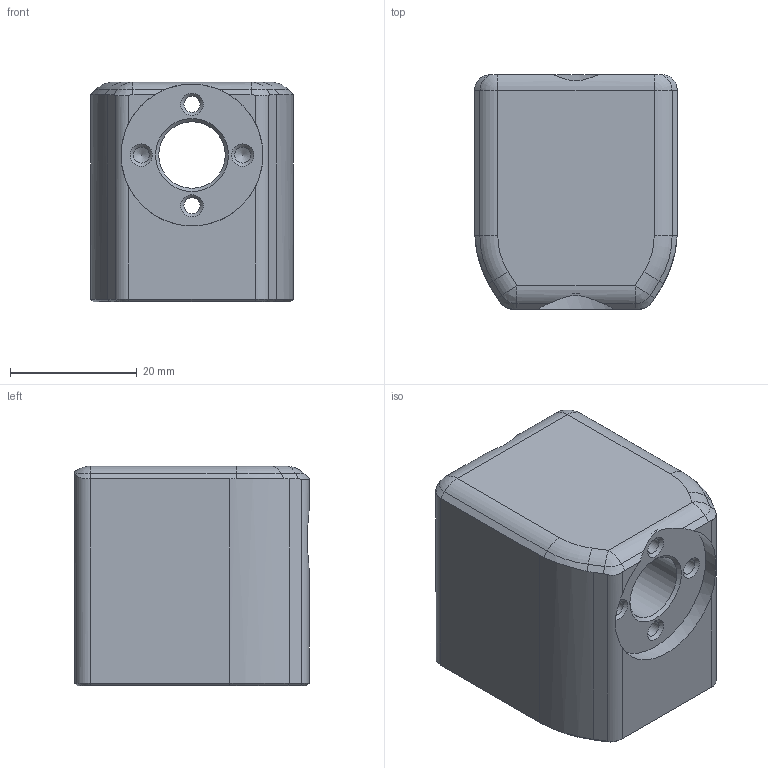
import cadquery as cq
import math

WIDTH = 32.0
LENGTH = 37.0
HEIGHT = 34.67
FRONT_Y = -LENGTH / 2
REAR_Y = LENGTH / 2

TAPER_ANGLE = 32.0
FRONT_CORNER_X = 11.35
TAPER_LENGTH = (WIDTH / 2 - FRONT_CORNER_X) / math.tan(math.radians(TAPER_ANGLE))
BODY_CORNER_RADIUS = 2.5
BODY_TAPER_RADIUS = 17.7
BASE_CHAMFER = 0.4

BEVEL_ANGLE = 45.0
TOP_CHAMFER = 2.0
TOP_BLEND_RADIUS = 4.0
BEVEL_INSET = TOP_CHAMFER + TOP_BLEND_RADIUS * math.tan(math.radians(BEVEL_ANGLE / 2))
CORNER_CLEARANCE = 0.01
CROWN_CORNER_RADIUS = BEVEL_INSET + CORNER_CLEARANCE
CROWN_TAPER_RADIUS = 14.3
CROWN_GROWTH = 1.0
CROWN_REAR_OVERHANG = BEVEL_INSET - BODY_CORNER_RADIUS

AXIS_BELOW_TOP = 11.5
AXIS_Z = HEIGHT - AXIS_BELOW_TOP
SEAT_DIAMETER = 22.4
SEAT_DEPTH = 2.5
BORE_DIAMETER = 10.5
SCREW_HOLE_DIAMETER = 2.53
SCREW_CIRCLE_RADIUS = 8.0
HOLE_CHAMFER = 0.5
BLIND_HOLE_DEPTH = 10.0
DRILL_POINT_ANGLE = 118.0


def tapered_prism(rear_y, corner_radius, taper_radius):
    """Full-height prism of the plan outline, with its upright edges rounded."""
    taper_y = FRONT_Y + TAPER_LENGTH
    outline = [
        (-FRONT_CORNER_X, FRONT_Y),
        (FRONT_CORNER_X, FRONT_Y),
        (WIDTH / 2, taper_y),
        (WIDTH / 2, rear_y),
        (-WIDTH / 2, rear_y),
        (-WIDTH / 2, taper_y),
    ]
    prism = cq.Workplane("XY").polyline(outline).close().extrude(HEIGHT)
    prism = prism.edges("|Z and (not (<Y or >Y))").fillet(taper_radius)
    return prism.edges("|Z and (<Y or >Y)").fillet(corner_radius)


def make_body():
    body = tapered_prism(REAR_Y, BODY_CORNER_RADIUS, BODY_TAPER_RADIUS)
    return body.faces("<Z").edges().chamfer(BASE_CHAMFER)


def make_crown():
    """Envelope that gives the body its rounded bevel around the top."""
    crown = tapered_prism(REAR_Y + CROWN_REAR_OVERHANG, CROWN_CORNER_RADIUS, CROWN_TAPER_RADIUS)
    outline = crown.faces("<Z").wires().val().offset2D(CROWN_GROWTH)[0]
    crown = cq.Workplane("XY").add(outline).toPending().extrude(HEIGHT)
    crown = crown.faces(">Z").edges().chamfer(TOP_CHAMFER + CROWN_GROWTH)
    return crown.faces(">Z").edges().fillet(TOP_BLEND_RADIUS)


def revolved_cutter(half_profile, x, z):
    """Round cutter along Y; the profile holds (radius, y) points, starting and ending at radius 0."""
    profile = cq.Workplane("XY").polyline(half_profile).close()
    return profile.revolve(360, (0, 0, 0), (0, 1, 0)).translate((x, 0, z))


def through_cutter(diameter, x, z):
    """Through hole between the two seats, chamfered at both ends."""
    radius = diameter / 2
    rim = radius + HOLE_CHAMFER
    front = FRONT_Y + SEAT_DEPTH
    rear = REAR_Y - SEAT_DEPTH
    half_profile = [
        (0, front),
        (rim, front),
        (radius, front + HOLE_CHAMFER),
        (radius, rear - HOLE_CHAMFER),
        (rim, rear),
        (0, rear),
    ]
    return revolved_cutter(half_profile, x, z)


def blind_cutter(diameter, x, z):
    """Chamfered hole from the front seat, ending in a drill point."""
    radius = diameter / 2
    front = FRONT_Y + SEAT_DEPTH
    point_length = radius / math.tan(math.radians(DRILL_POINT_ANGLE / 2))
    half_profile = [
        (0, front),
        (radius + HOLE_CHAMFER, front),
        (radius, front + HOLE_CHAMFER),
        (radius, front + BLIND_HOLE_DEPTH),
        (0, front + BLIND_HOLE_DEPTH + point_length),
    ]
    return revolved_cutter(half_profile, x, z)


def seat_cutter(start_y):
    """Round flange seat, reaching SEAT_DEPTH along +Y from start_y."""
    seat = cq.Workplane("XZ").circle(SEAT_DIAMETER / 2).extrude(-SEAT_DEPTH)
    return seat.translate((0, start_y, AXIS_Z))


result = make_body().intersect(make_crown())

for seat_start in (FRONT_Y, REAR_Y - SEAT_DEPTH):
    result = result.cut(seat_cutter(seat_start))

result = result.cut(through_cutter(BORE_DIAMETER, 0, AXIS_Z))

for side in (-1, 1):
    offset = side * SCREW_CIRCLE_RADIUS
    result = result.cut(through_cutter(SCREW_HOLE_DIAMETER, 0, AXIS_Z + offset))
    result = result.cut(blind_cutter(SCREW_HOLE_DIAMETER, offset, AXIS_Z))